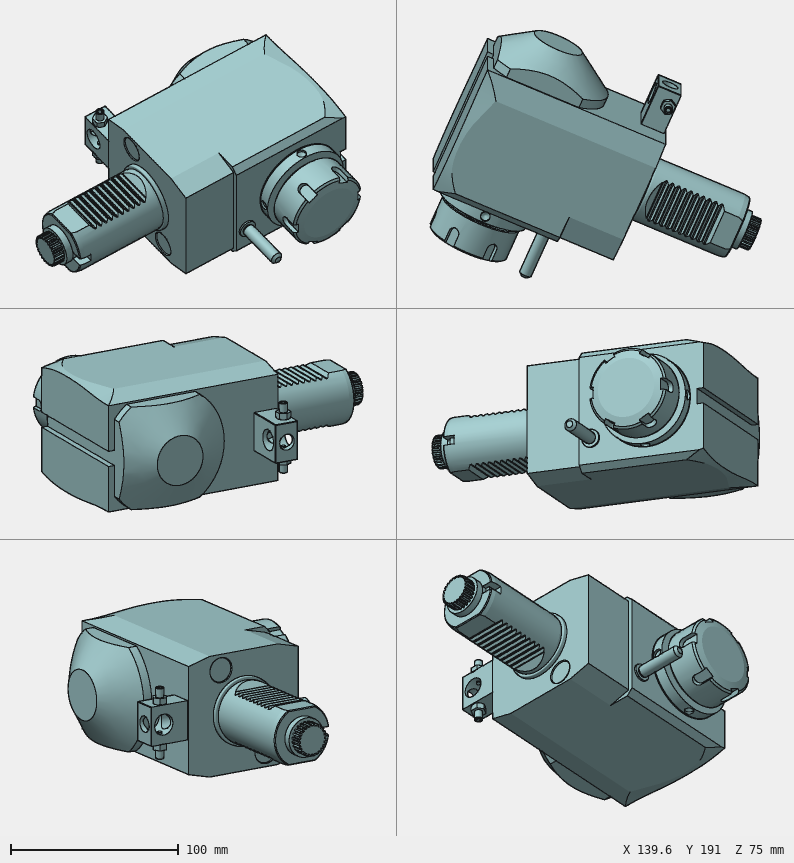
import cadquery as cq
import math


drill_angle = math.radians(59)
overlap = 2.0

body_back = 116.0
body_half_height = 75.0 / 2
shoulder_z = 33.6
side_x = 39.2
chamfer_start_x = 24.3
head_x = 42.0
head_chamfer_x = 38.0
step_y = 35.1
slot_width = 9.5
slot_depth = 4.0

bevel_peak = (14.1, 112.7)
bevel_left_radius = 89.0
bevel_right_radius = 34.8
bevel_right_corner_y = 99.7
bevel_run = 3.5

seat_spots = [(-16.0, 27.7), (16.0, -27.7)]
seat_radius = 7.8
seat_floor_radius = 7.5
seat_depth = 0.8

shank_radius = 20.0
shank_end = -63.6
collar_radius = 21.5
collar_length = 2.5
collar_rounding = 0.5
undercut_radius = 19.7
undercut_end = -4.0
end_taper_start = -60.0
end_taper_radius = 19.5
end_edge = 0.5
boss_radius = 12.2
boss_end = -68.2
spline_end = -75.0
spline_radius = 10.1
spline_root = 8.8
spline_teeth = 24
spline_edge = 0.5
groove_mouth_share = 0.7
groove_root_share = 0.4
shank_flat_z = 17.0
serration_z = 14.7
serration_depth = 1.3
serration_pitch = 4.0
serration_count = 10
serration_first_y = -11.8
serration_floor = 0.8
key_half_width = 2.7
key_step_x = 15.0
key_depth = 7.6
key_step_depth = 2.9

spindle_y = 80.0
cap_radius = 40.1
cap_rim_x = -44.9
cap_face_x = -62.5
cap_face_radius = 15.7
cap_flat_z = 32.5
flange_gap_radius = 27.5
flange_radius = 27.9
flange_start = 42.8
flange_end = 50.2
neck_radius = 21.5
nut_start = 52.3
nut_radius = 25.0
nut_end = 74.5
nut_edge = 0.5
nut_crown_x = 72.0
nut_crown_middle = (73.2, 23.7)
nut_face_radius = 18.3
flange_hole_count = 4
flange_hole_radius = 2.9
flange_hole_depth = 1.5
nut_slot_count = 6
nut_slot_width = 6.9
nut_slot_depth = 3.0
nut_slot_start = 61.9

pin_y = 42.8
pin_z = -18.0
pin_radius = 3.8
pin_collar_radius = 5.5
pin_collar_end = 43.2
pin_end = 74.0
pin_lead_length = 1.0
pin_lead = 0.4
pin_tip = 1.7

block_left = -65.1
block_front = 1.1
block_back = 16.2
block_half_height = 12.2
block_edge = 0.4
bore_x = -56.2
bore_radius = 6.5
side_bore_y = 8.4
side_bore_radius = 5.0
side_bore_depth = 23.0
center_hole_radius = 1.1
center_hole_depth = 1.0
screw_x = -56.0
screw_y = 5.7
hex_corner_diameter = 9.2
hex_top = 16.2
hex_edge = 0.5
stud_radius = 2.5
stud_top = 22.2
stud_inner_end = 5.5
stud_inner_radius = 1.3
stud_edge = 0.4
socket_corner_diameter = 3.0
socket_depth = 1.1


def box(x0, x1, y0, y1, z0, z1):
    """Block between two limits on each axis."""
    return cq.Workplane("XY").box(x1 - x0, y1 - y0, z1 - z0, centered=False).translate((x0, y0, z0))


def turned_x(profile, y=0, z=0):
    """Solid turned about an axis parallel to X; profile is (x, radius)."""
    outline = cq.Workplane("XY").polyline(profile).close()
    return outline.revolve(360, (0, 0, 0), (1, 0, 0)).translate((0, y, z))


def turned_y(profile, x=0, z=0):
    """Solid turned about an axis parallel to Y; profile is (radius, y)."""
    outline = cq.Workplane("XY").polyline(profile).close()
    return outline.revolve(360, (0, 0, 0), (0, 1, 0)).translate((x, 0, z))


def both_sides(solid):
    """A solid together with its mirror image below Z = 0."""
    return solid.union(solid.mirror("XY"))


def prism_y(right_x, right_chamfer_x, y0, y1):
    """Length of housing with chamfered top and bottom edges."""
    outline = []
    for side in (1, -1):
        corners = [
            (-side_x, side * shoulder_z),
            (-chamfer_start_x, side * body_half_height),
            (right_chamfer_x, side * body_half_height),
            (right_x, side * shoulder_z),
        ]
        outline += corners if side == 1 else corners[::-1]
    return cq.Workplane("XZ").polyline(outline).close().extrude(y0 - y1).translate((0, y0, 0))


def arc_point(radius, x):
    """Point at x on a bevel arc that is level at the bevel peak."""
    peak_x, peak_y = bevel_peak
    return (x, peak_y - radius + math.sqrt(radius**2 - (x - peak_x) ** 2))


def back_bevel():
    """Sloping cutter for the back of the top face."""
    peak_x, _ = bevel_peak
    far_y = body_back + overlap
    left_corner = (-side_x, body_back - bevel_run * (body_half_height - shoulder_z))
    right_corner = (head_x, bevel_right_corner_y)
    crest = [
        left_corner,
        arc_point(bevel_left_radius, -chamfer_start_x),
        arc_point(bevel_left_radius, (peak_x - chamfer_start_x) / 2),
        bevel_peak,
        arc_point(bevel_right_radius, (peak_x + head_chamfer_x) / 2),
        arc_point(bevel_right_radius, head_chamfer_x),
        right_corner,
    ]
    outline = (
        cq.Workplane("XY", origin=(0, 0, body_half_height))
        .moveTo(-side_x - overlap, far_y)
        .lineTo(-side_x - overlap, left_corner[1])
        .lineTo(*left_corner)
        .spline(crest[1:], includeCurrent=True)
        .lineTo(head_x + overlap, bevel_right_corner_y)
        .lineTo(head_x + overlap, far_y)
        .close()
    )
    fall = body_half_height - shoulder_z + overlap
    slope = cq.Vector(0, bevel_run * fall, -fall)
    return cq.Workplane("XY").add(cq.Solid.extrudeLinear(outline.wires().val(), [], slope))


def housing():
    """Main body with back slot and front seats."""
    body = prism_y(side_x, chamfer_start_x, 0, step_y + overlap)
    body = body.union(prism_y(head_x, head_chamfer_x, step_y, body_back))
    body = body.cut(both_sides(back_bevel()))
    slot_floor = body_back - slot_depth
    body = body.cut(box(
        -side_x - overlap, head_x + overlap,
        slot_floor, body_back + overlap,
        -slot_width / 2, slot_width / 2,
    ))
    for x, z in seat_spots:
        body = body.cut(turned_y([
            (0, 0), (seat_radius, 0), (seat_floor_radius, seat_depth), (0, seat_depth),
        ], x, z))
    return body


def serration_cutter():
    """Clears the grooved clamping flat and the plain flat behind it, on the top of the shank."""
    half_floor = serration_floor / 2
    clear_z = shank_radius + overlap
    tip_z = serration_z + serration_depth
    tip_half = (serration_pitch - serration_floor) / 2 - serration_depth
    last_y = serration_first_y - (serration_count - 1) * serration_pitch
    lead_y = serration_first_y + serration_pitch / 2 + tip_half + clear_z - tip_z
    outline = [(lead_y, clear_z)]
    for i in range(serration_count):
        y = serration_first_y - i * serration_pitch
        tip_y = y + serration_pitch / 2
        outline += [(tip_y + tip_half, tip_z), (tip_y - tip_half, tip_z)]
        outline += [(y + half_floor, serration_z), (y - half_floor, serration_z)]
    flat_y = last_y - half_floor - (shank_flat_z - serration_z)
    outline += [
        (flat_y, shank_flat_z), (shank_end + end_edge, shank_flat_z),
        (shank_end - overlap, shank_flat_z - end_edge - overlap), (shank_end - overlap, clear_z),
    ]
    return cq.Workplane("YZ").polyline(outline).close().extrude(shank_radius + overlap, both=True)


def shank():
    """Collared shank with clamping flats, key slot, boss and drive spline."""
    body = turned_y([
        (0, overlap), (undercut_radius, overlap), (undercut_radius, -collar_length),
        (shank_radius, undercut_end), (shank_radius, end_taper_start),
        (end_taper_radius, shank_end + end_edge), (end_taper_radius - end_edge, shank_end), (0, shank_end),
    ])
    body = body.cut(both_sides(serration_cutter()))
    for start_x, depth in ((boss_radius, key_step_depth), (key_step_x, key_depth)):
        body = body.cut(box(
            start_x, shank_radius + overlap,
            shank_end - overlap, shank_end + depth,
            -key_half_width, key_half_width,
        ))
    collar = cq.Workplane("XZ", origin=(0, overlap, 0)).circle(collar_radius).extrude(overlap + collar_length)
    body = body.union(collar.faces("<Y").edges().fillet(collar_rounding))
    boss_root = shank_end + overlap
    boss = [(0, boss_root), (boss_radius, boss_root), (boss_radius, boss_end), (0, boss_end)]
    return body.union(turned_y(boss)).union(spline())


def spline():
    """Toothed end of the drive shaft."""
    body = turned_y([
        (0, boss_end + overlap), (spline_radius, boss_end + overlap),
        (spline_radius, spline_end + spline_edge), (spline_radius - spline_edge, spline_end), (0, spline_end),
    ])
    length = boss_end - spline_end
    tooth_angle = 2 * math.pi / spline_teeth
    mouth_radius = spline_radius + spline_edge
    mouth = groove_mouth_share * tooth_angle * spline_radius / 2
    root = groove_root_share * tooth_angle * spline_root / 2
    groove = (
        cq.Workplane("XZ", origin=(0, boss_end, 0))
        .polyline([(spline_root, -root), (mouth_radius, -mouth), (mouth_radius, mouth), (spline_root, root)])
        .close()
        .extrude(length)
    )
    for i in range(spline_teeth):
        body = body.cut(groove.rotate((0, 0, 0), (0, 1, 0), i * 360 / spline_teeth))
    return body


def cap():
    """Conical cap on the left, trimmed flat above, below and at the back."""
    body = turned_x([
        (-side_x + overlap, 0), (-side_x + overlap, cap_radius), (cap_rim_x, cap_radius),
        (cap_face_x, cap_face_radius), (cap_face_x, 0),
    ], spindle_y)
    limits = box(cap_face_x, 0, 0, body_back - slot_depth, -cap_flat_z, cap_flat_z)
    return body.intersect(limits)


def spindle():
    """Flange, neck and slotted clamping nut."""
    body = turned_x([
        (head_x - overlap, 0), (head_x - overlap, flange_gap_radius), (flange_start, flange_gap_radius),
        (flange_start, flange_radius), (flange_end, flange_radius), (flange_end, neck_radius),
        (nut_start, neck_radius), (nut_start, nut_radius - nut_edge), (nut_start + nut_edge, nut_radius),
        (nut_crown_x, nut_radius), nut_crown_middle, (nut_end, nut_face_radius), (nut_end, 0),
    ], spindle_y)

    hole_x = (flange_start + flange_end) / 2
    hole_shoulder = flange_radius - flange_hole_depth
    hole_tip = hole_shoulder - flange_hole_radius / math.tan(drill_angle)
    hole = (
        cq.Workplane("XZ")
        .polyline([
            (0, flange_radius + overlap), (flange_hole_radius, flange_radius + overlap),
            (flange_hole_radius, hole_shoulder), (0, hole_tip),
        ])
        .close()
        .revolve(360, (0, 0, 0), (0, 1, 0))
        .translate((hole_x, spindle_y, 0))
    )
    axis_start = (0, spindle_y, 0)
    axis_end = (1, spindle_y, 0)
    for i in range(flange_hole_count):
        body = body.cut(hole.rotate(axis_start, axis_end, i * 360 / flange_hole_count))

    floor_z = nut_radius - nut_slot_depth
    end_x = nut_slot_start + nut_slot_width / 2
    half_width = nut_slot_width / 2
    nut_slot = (
        cq.Workplane("XY", origin=(0, spindle_y, floor_z))
        .moveTo(nut_end + overlap, -half_width)
        .lineTo(end_x, -half_width)
        .threePointArc((nut_slot_start, 0), (end_x, half_width))
        .lineTo(nut_end + overlap, half_width)
        .close()
        .extrude(nut_slot_depth + overlap)
    )
    slot_angle = 360 / nut_slot_count
    for i in range(nut_slot_count):
        body = body.cut(nut_slot.rotate(axis_start, axis_end, (i + 0.5) * slot_angle))
    return body


def stop_pin():
    """Collared pin beside the spindle."""
    return turned_x([
        (head_x - overlap, 0), (head_x - overlap, pin_collar_radius), (pin_collar_end, pin_collar_radius),
        (pin_collar_end, pin_radius - pin_lead), (pin_collar_end + pin_lead_length, pin_radius),
        (pin_end - pin_tip, pin_radius), (pin_end, pin_radius - pin_tip), (pin_end, 0),
    ], pin_y, pin_z)


def coolant_block():
    """Block with a through bore, a crossing side bore and two bleed screws."""
    body = box(block_left, -side_x, block_front, block_back, -block_half_height, block_half_height)
    body = body.edges("<X or (|X and >Y)").chamfer(block_edge)
    body = body.cut(turned_y([
        (0, block_front), (bore_radius, block_front), (bore_radius, block_back), (0, block_back),
    ], bore_x))

    side_floor = block_left + side_bore_depth
    center_floor = side_floor + center_hole_depth
    body = body.cut(turned_x([
        (block_left, 0), (block_left, side_bore_radius), (side_floor, side_bore_radius),
        (side_floor, center_hole_radius), (center_floor, center_hole_radius), (center_floor, 0),
    ], side_bore_y))
    return body.union(both_sides(bleed_screw()))


def bleed_screw():
    """Upper hexagon nut and stud of the coolant block."""
    axis = cq.Workplane("XY", origin=(screw_x, screw_y, 0))
    hex_base = block_half_height - overlap
    nut = axis.workplane(offset=hex_base).polygon(6, hex_corner_diameter).extrude(hex_top - hex_base)
    nut_rim = hex_corner_diameter / 2
    cone = (
        axis.workplane(offset=block_half_height)
        .circle(nut_rim - hex_edge)
        .workplane(offset=hex_edge)
        .circle(nut_rim)
        .loft()
    )
    straight = axis.workplane(offset=block_half_height + hex_edge).circle(nut_rim).extrude(hex_top)
    nut = nut.intersect(cone.union(straight))

    inner_end = axis.workplane(offset=stud_inner_end).circle(stud_inner_radius)
    inner_end = inner_end.extrude(hex_base - stud_inner_end)
    stud = axis.workplane(offset=hex_base).circle(stud_radius).extrude(stud_top - hex_base)
    stud = stud.faces(">Z").edges().chamfer(stud_edge)
    socket = axis.workplane(offset=stud_top - socket_depth).polygon(6, socket_corner_diameter)
    socket = socket.extrude(socket_depth)
    return nut.union(stud).union(inner_end).cut(socket)


result = housing()
for piece in (shank(), cap(), spindle(), stop_pin(), coolant_block()):
    result = result.union(piece)